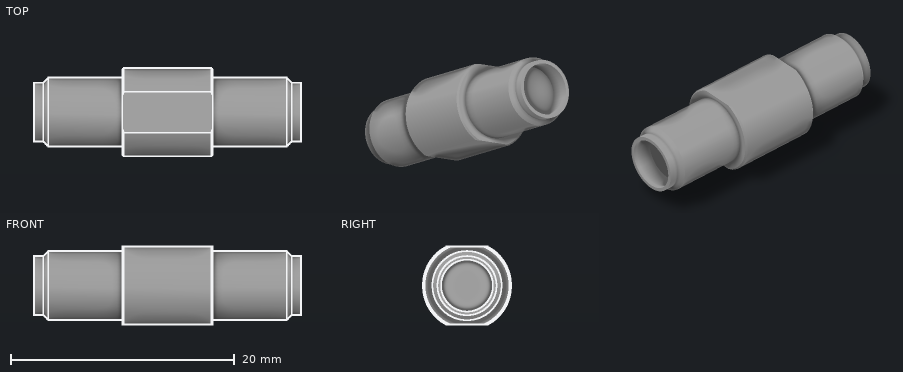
import cadquery as cq

overall_length = 23.9

body_length = 8.1
body_diameter = 7.91
across_flats = 7.0
body_chamfer = 0.15

barrel_length = (overall_length - body_length) / 2
barrel_diameter = 6.2
neck_diameter = 5.3
neck_length = 0.85
socket_diameter = 4.65
socket_depth = 1.9
cone_length = (barrel_diameter - neck_diameter) / 2


def make_center_body():
    """Chamfered round bar along X, cut to flats on its top and bottom."""
    bar = (
        cq.Workplane("YZ")
        .circle(body_diameter / 2)
        .extrude(body_length / 2, both=True)
        .faces("<X or >X")
        .chamfer(body_chamfer)
    )
    flats = cq.Workplane("XY").box(body_length, body_diameter, across_flats)
    return bar.intersect(flats)


def make_barrel(side):
    """Turned barrel on one end of the center body; side is -1 (left) or 1 (right)."""
    root_x = side * body_length / 2
    tip_x = root_x + side * barrel_length
    floor_x = tip_x - side * socket_depth
    neck_x = tip_x - side * neck_length
    shoulder_x = neck_x - side * cone_length
    half_profile = [
        (root_x, 0),
        (root_x, barrel_diameter / 2),
        (shoulder_x, barrel_diameter / 2),
        (neck_x, neck_diameter / 2),
        (tip_x, neck_diameter / 2),
        (tip_x, socket_diameter / 2),
        (floor_x, socket_diameter / 2),
        (floor_x, 0),
    ]
    return cq.Workplane("XZ").polyline(half_profile).close().revolve(360, (0, 0, 0), (1, 0, 0))


center_body = make_center_body()
barrels = [make_barrel(side).val() for side in (-1, 1)]

result = cq.Compound.makeCompound([center_body.val(), *barrels])